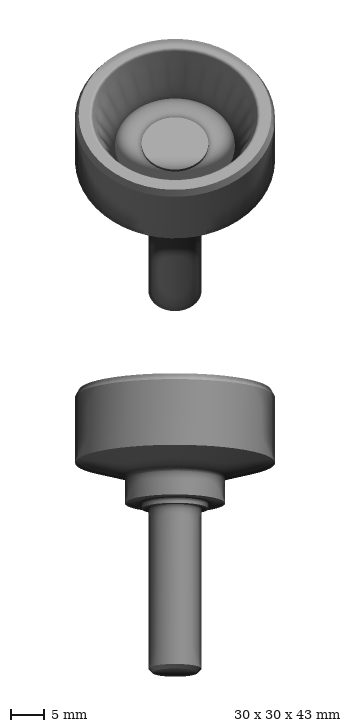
import cadquery as cq

total_height = 43.0
shaft_length = 25.0
hub_bottom = 25.8
hub_top = 29.8
rim_bottom = 32.0
bowl_floor = 35.5
stud_top = 36.0

knob_diameter = 30.0
hub_diameter = 15.0
rim_chamfer_width = 0.55
rim_chamfer_height = 1.0
bowl_mouth_diameter = 25.0
bowl_floor_diameter = 17.97
edge_radius = 0.5

collar_diameter = 10.0
shaft_diameter = 8.0
tip_chamfer = 0.6


def revolve_profile(points):
    """Revolve a closed (radius, height) outline about the Z axis."""
    return cq.Workplane("XZ").polyline(points).close().revolve(360, (0, 0), (0, 1))


def circle_edge(radius, height):
    """Select the circular edge of a given radius at a given height."""
    margin = 0.05
    reach = radius + margin
    return cq.selectors.BoxSelector(
        (-reach, -reach, height - margin), (reach, reach, height + margin), boundingbox=True
    )


def make_knob():
    """Dished knob with a conical underside, a hub and a bore for the stud."""
    knob_radius = knob_diameter / 2
    hub_radius = hub_diameter / 2
    bore_radius = collar_diameter / 2
    mouth_radius = bowl_mouth_diameter / 2
    knob = revolve_profile([
        (bore_radius, hub_bottom),
        (hub_radius, hub_bottom),
        (hub_radius, hub_top),
        (knob_radius, rim_bottom),
        (knob_radius, total_height - rim_chamfer_height),
        (knob_radius - rim_chamfer_width, total_height),
        (mouth_radius, total_height),
        (bowl_floor_diameter / 2, bowl_floor),
        (bore_radius, bowl_floor),
    ])
    knob = knob.edges(circle_edge(hub_radius, hub_top)).fillet(edge_radius)
    return knob.edges(circle_edge(mouth_radius, total_height)).fillet(edge_radius)


def make_stud():
    """Plain shaft with a wider collar that passes up through the knob."""
    collar_height = stud_top - shaft_length
    shaft = cq.Workplane("XY").circle(shaft_diameter / 2).extrude(shaft_length)
    shaft = shaft.faces("<Z").chamfer(tip_chamfer)
    return shaft.faces(">Z").workplane().circle(collar_diameter / 2).extrude(collar_height)


knob = make_knob()
stud = make_stud()

result = cq.Compound.makeCompound([knob.val(), stud.val()])